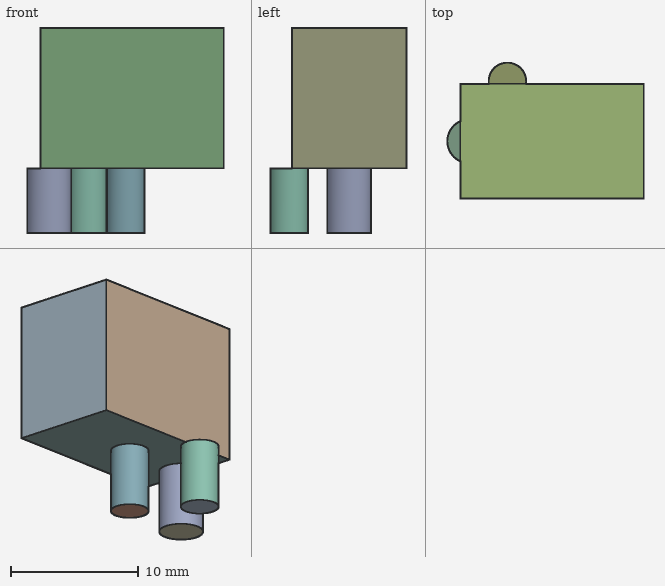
import cadquery as cq

overall_length = 15.42
overall_depth = 10.67
overall_height = 16.1

housing_depth = 9.0
housing_height = 11.01
left_pin_overhang = 1.03
housing_length = overall_length - left_pin_overhang

pin_length = overall_height - housing_height
thick_pin_diameter = 3.45
thin_pin_diameter = 2.96

row_y = housing_depth / 2
thick_pin_x = thick_pin_diameter / 2 - left_pin_overhang
right_pin_x = 6.7
rear_pin_x = (thick_pin_x + right_pin_x) / 2
rear_pin_y = overall_depth - thin_pin_diameter / 2

thin_pin_centres = [(right_pin_x, row_y), (rear_pin_x, rear_pin_y)]


def make_housing():
    """Plain rectangular block with its underside at Z = 0."""
    return cq.Workplane("XY").box(housing_length, housing_depth, housing_height, centered=False)


def make_pin(x, y, diameter):
    """Round pin whose top face is at Z = 0, flush with the housing's underside."""
    return cq.Workplane("XY").center(x, y).circle(diameter / 2).extrude(-pin_length)


housing = make_housing()
thick_pin = make_pin(thick_pin_x, row_y, thick_pin_diameter)
thin_pins = [make_pin(x, y, thin_pin_diameter) for x, y in thin_pin_centres]

result = cq.Compound.makeCompound([
    housing.val(),
    thick_pin.val(),
    *[pin.val() for pin in thin_pins],
])